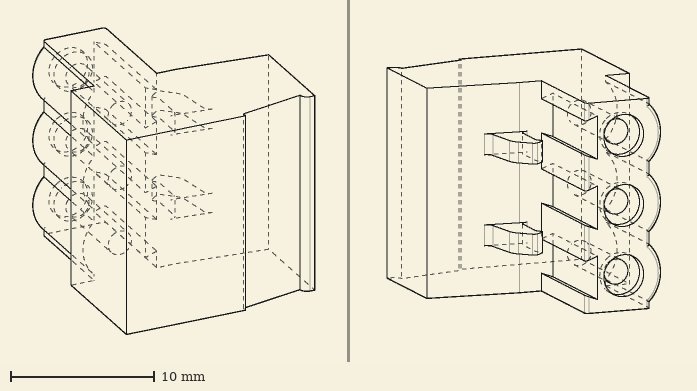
import cadquery as cq

LENGTH = 17.3
DEPTH = 15.0
HEIGHT = 15.0
POLES = 3
PITCH = HEIGHT / POLES

BODY_X = 8.32
TAPER_START_Y = 8.27
BACK_LEFT_X = 8.96
BACK_RIGHT_X = 16.42
LIP_STRAIGHT = 0.38
LIP_DEPTH = 0.9
LIP_ROOT_X = 15.9
LIP_BULGE = 0.14
STEP_Y = 9.22
STEP_WIDTH = 0.35

BAR_FRONT_Y = 1.8
BAR_BACK_Y = 6.65
FRONT_ROUNDING = 0.26
BACK_ROUNDING = 0.25
PORT_Y = 3.79
LOBE_RADIUS = 2.85

PORT_DIAMETER = 3.0
PORT_DEPTH = 0.78
BORE_DIAMETER = 1.8
CONE_DEPTH = 0.7

KEYWAY_DEPTH = 0.86
KEYWAY_MOUTH = 2.44
KEYWAY_FLOOR = 3.08

HOOK_WIDTH = 1.49
HOOK_SPACING = 6.49
HOOK_EMBED = 1.04
HOOK_UNDERSIDE_Y = 8.23
HOOK_TOP_ROOT_Y = 10.41
HOOK_BEND = (5.41, 9.98)
HOOK_NOSE = (4.2, 8.7)
HOOK_TIP = (4.93, 7.82)
HOOK_THROAT_X = 5.33
HOOK_BEND_RADIUS = 1.25
HOOK_NOSE_RADIUS = 0.3
HOOK_TIP_RADIUS = 0.19
HOOK_THROAT_RADIUS = 0.52
HOOK_ROOT_RADIUS = 0.5
HOOK_FLARE = 0.52

port_heights = [PITCH * (i + 0.5) for i in range(POLES)]


def wall_x(y):
    """X of the housing's left wall at a given Y."""
    lean = (BACK_LEFT_X - BODY_X) / (DEPTH - TAPER_START_Y)
    return BODY_X + lean * max(0.0, y - TAPER_START_Y)


def make_housing():
    lip_start = (BACK_RIGHT_X, DEPTH - LIP_STRAIGHT)
    lip_end = (LIP_ROOT_X, DEPTH - LIP_DEPTH)
    return (
        cq.Workplane("XY")
        .moveTo(BODY_X, 0)
        .lineTo(LENGTH, 0)
        .lineTo(LENGTH, STEP_Y)
        .lineTo(LENGTH - STEP_WIDTH, STEP_Y)
        .lineTo(*lip_end)
        .sagittaArc(lip_start, -LIP_BULGE)
        .lineTo(BACK_RIGHT_X, DEPTH)
        .lineTo(BACK_LEFT_X, DEPTH)
        .lineTo(BODY_X, TAPER_START_Y)
        .close()
        .extrude(HEIGHT)
    )


def make_bar():
    core_size = (BODY_X, BAR_BACK_Y - BAR_FRONT_Y, HEIGHT)
    core = cq.Workplane("XY").box(*core_size, centered=False).translate((0, BAR_FRONT_Y, 0))
    bar = core.edges("<X and <Y").fillet(FRONT_ROUNDING).edges("<X and >Y").fillet(BACK_ROUNDING)
    front_half = cq.Workplane("XY").box(BODY_X, PORT_Y, HEIGHT, centered=False)
    for z in port_heights:
        lobe = cq.Workplane("YZ").center(PORT_Y, z).circle(LOBE_RADIUS).extrude(BODY_X)
        lobe = lobe.faces("<X").edges().fillet(FRONT_ROUNDING)
        bar = bar.union(lobe.intersect(front_half))
    return bar


def make_keyway(z):
    floor_y = BAR_BACK_Y - KEYWAY_DEPTH
    return (
        cq.Workplane("YZ")
        .moveTo(BAR_BACK_Y, z - KEYWAY_MOUTH / 2)
        .lineTo(floor_y, z - KEYWAY_FLOOR / 2)
        .lineTo(floor_y, z + KEYWAY_FLOOR / 2)
        .lineTo(BAR_BACK_Y, z + KEYWAY_MOUTH / 2)
        .close()
        .extrude(BODY_X)
    )


def make_port(z):
    cone_end = PORT_DEPTH + CONE_DEPTH
    return (
        cq.Workplane("XY")
        .lineTo(0, PORT_DIAMETER / 2)
        .lineTo(PORT_DEPTH, PORT_DIAMETER / 2)
        .lineTo(cone_end, BORE_DIAMETER / 2)
        .lineTo(BODY_X, BORE_DIAMETER / 2)
        .lineTo(BODY_X, 0)
        .close()
        .revolve(360, (0, 0), (1, 0))
        .translate((0, PORT_Y, z))
    )


def round_edge(solid, point, radius):
    """Fillet the vertical edge nearest to an outline corner."""
    return solid.edges("|Z").edges(cq.selectors.NearestToPointSelector((*point, 0))).fillet(radius)


def make_hook(z):
    throat = (HOOK_THROAT_X, HOOK_UNDERSIDE_Y)
    root_low = (BODY_X, HOOK_UNDERSIDE_Y)
    root_high = (wall_x(HOOK_TOP_ROOT_Y), HOOK_TOP_ROOT_Y)
    flare_low = (BODY_X, HOOK_UNDERSIDE_Y - HOOK_FLARE)
    flare_high_y = HOOK_TOP_ROOT_Y + HOOK_FLARE
    flare_high = (wall_x(flare_high_y), flare_high_y)
    embed_x = BODY_X + HOOK_EMBED
    hook = (
        cq.Workplane("XY")
        .polyline([
            HOOK_NOSE, HOOK_TIP, throat, root_low, flare_low,
            (embed_x, flare_low[1]), (embed_x, flare_high_y),
            flare_high, root_high, HOOK_BEND,
        ])
        .close()
        .extrude(HOOK_WIDTH)
    )
    corners = [
        (HOOK_NOSE, HOOK_NOSE_RADIUS),
        (HOOK_TIP, HOOK_TIP_RADIUS),
        (throat, HOOK_THROAT_RADIUS),
        (root_low, HOOK_ROOT_RADIUS),
        (root_high, HOOK_ROOT_RADIUS),
        (HOOK_BEND, HOOK_BEND_RADIUS),
    ]
    for point, radius in corners:
        hook = round_edge(hook, point, radius)
    return hook.translate((0, 0, z - HOOK_WIDTH / 2))


bar = make_bar()
for z in port_heights:
    bar = bar.cut(make_keyway(z)).cut(make_port(z))

result = make_housing().union(bar)
for side in (-1, 1):
    result = result.union(make_hook(HEIGHT / 2 + side * HOOK_SPACING / 2))